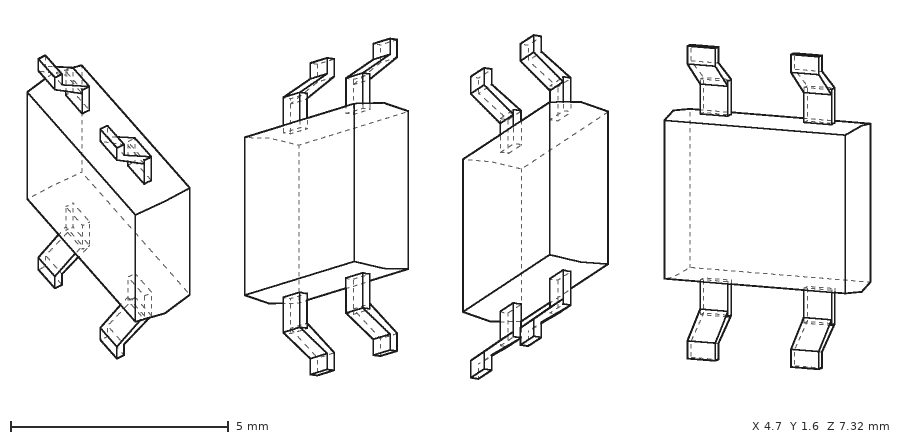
import cadquery as cq
import math

HOUSING_WIDTH = 4.7
HOUSING_HEIGHT = 3.895
HOUSING_DEPTH = 1.5
TAPER_ANGLE = 7.0

OVERALL_HEIGHT = 7.32
LEAD_WIDTH = 0.695
LEAD_THICKNESS = 0.2
LEAD_PITCH = 2.585
FOOT_STANDOFF = 0.1
SHANK_END = 2.76
ARM_FRONT_START = 2.635
ARM_FRONT_END = 3.24
ARM_BACK_END = 3.29

half_depth = HOUSING_DEPTH / 2
half_height = HOUSING_HEIGHT / 2
half_thickness = LEAD_THICKNESS / 2
foot_front = -half_depth - FOOT_STANDOFF
foot_back = foot_front + LEAD_THICKNESS
foot_tip = OVERALL_HEIGHT / 2
face_inset = half_depth * math.tan(math.radians(TAPER_ANGLE))


def make_housing():
    """Block that tapers from its middle ridge to its front and back faces."""
    ridge = cq.Workplane("XZ").rect(HOUSING_WIDTH, HOUSING_HEIGHT)
    front_half = ridge.extrude(half_depth, taper=TAPER_ANGLE)
    back_half = front_half.mirror("XZ")
    return front_half.union(back_half)


def extrude_lead_profile(points):
    """Closed (Y, Z) profile extruded to the lead width, centred on X = 0."""
    return cq.Workplane("YZ").polyline(points).close().extrude(LEAD_WIDTH / 2, both=True)


def make_shank():
    """Straight strip whose inner end fits over the housing ridge."""
    taper_drop = face_inset * half_thickness / half_depth
    shoulder = half_height - taper_drop
    return extrude_lead_profile([
        (-half_thickness, shoulder),
        (0, half_height),
        (half_thickness, shoulder),
        (half_thickness, SHANK_END),
        (-half_thickness, SHANK_END),
    ])


def make_foot():
    """Sloping arm wrapped over the shank end, then a straight pad."""
    return extrude_lead_profile([
        (half_thickness, SHANK_END),
        (foot_back, ARM_BACK_END),
        (foot_back, foot_tip),
        (foot_front, foot_tip),
        (foot_front, ARM_FRONT_END),
        (-half_thickness, ARM_FRONT_START),
        (-half_thickness, SHANK_END),
    ])


def place_at_leads(upper_piece):
    """Copies of an upper lead piece at the four lead positions."""
    copies = []
    for piece in (upper_piece, upper_piece.mirror("XY")):
        for side in (-1, 1):
            copies.append(piece.translate((side * LEAD_PITCH / 2, 0, 0)).val())
    return copies


housing = make_housing()
shanks = place_at_leads(make_shank())
feet = place_at_leads(make_foot())

result = cq.Compound.makeCompound([housing.val(), *shanks, *feet])